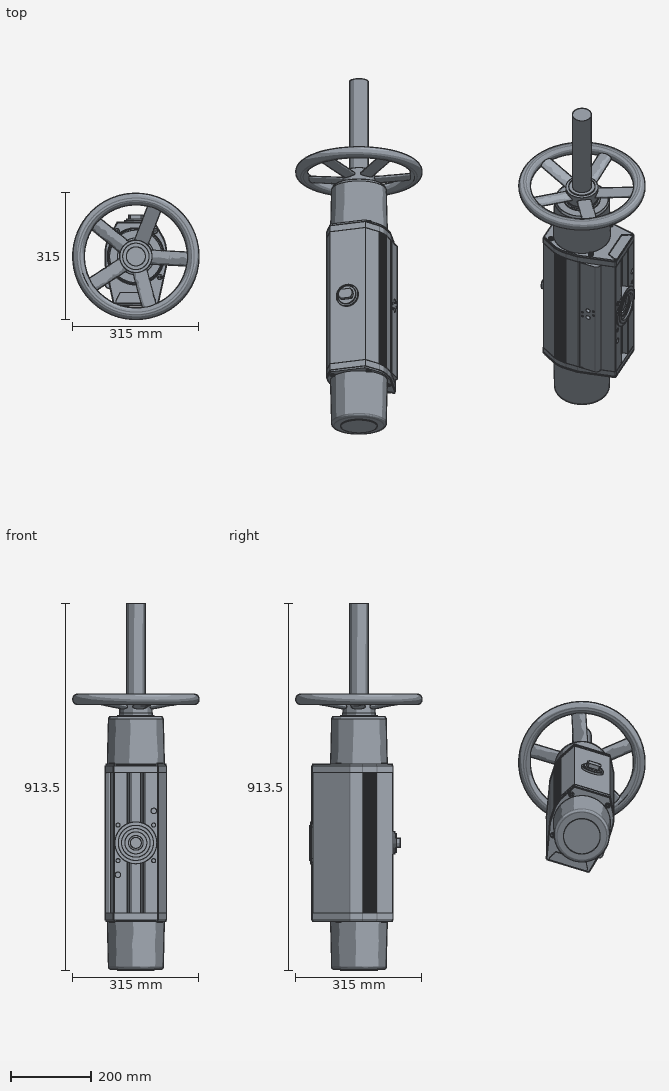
import cadquery as cq
import math

total_height = 913.5
body_bottom = 121.5
body_top = 513.0
plate_height = 21.0
body_mid = (body_bottom + body_top) / 2
profile_base = body_bottom + plate_height
profile_height = body_top - body_bottom - 2 * plate_height

back_y = 85.0
back_half_width = 47.0
shoulder_half_width = 69.0
shoulder_y = 45.0
widest_half_width = 77.0
arc_end_y = 9.0
taper_start_y = -22.0
front_y = -118.0
front_half_width = 54.0
corner_half_width = 57.0
corner_y = -115.0
plate_step_height = 5.0
plate_step_inset = 2.0
profile_inset = 0.5

arc_run = widest_half_width - shoulder_half_width
arc_rise = shoulder_y - arc_end_y
flank_radius = (arc_run**2 + arc_rise**2) / (2 * arc_run)

flute_count = 8
flute_first_y = 11.0
flute_pitch = 5.0
flute_width = 2.3
flute_depth = 1.4

cover_root_radius = 71.0
cover_tip_radius = 68.5
cover_edge = 6.0
cover_top = 632.0
cover_bottom = 3.0
cap_radius = 46.0
cap_height = 3.0

stem_radius = 24.0
neck_radius = 41.0
neck_step_z = 640.0
hub_radius = 40.0
hub_top_radius = 33.0
hub_shoulder_z = 671.0
hub_top_z = 674.0
wheel_radius = 315.0 / 2
rim_inner_radius = 128.0
rim_flat_radii = (139.0, 145.0)
rim_half_height = 26.5 / 2
rim_top_z = 688.0
rim_z = rim_top_z - rim_half_height
spoke_count = 5
spoke_first_angle = -3.0
spoke_half_width = 36.0 / 2
spoke_half_thickness = 6.85
spoke_start_radius = 27.0
spoke_start_z = 655.0
spoke_end_z = rim_z

groove_half_width = 24.0
groove_step = (19.0, 2.0)
groove_wall = (15.5, 14.0)
groove_floor = (12.0, 16.0)

flange_radius = 52.0
flange_height = 3.0
spigot_radius = 44.0
spigot_height = 5.5
recess_radius = 36.0
recess_depth = 5.5
seat_radius = 27.0
seat_depth = 8.0
bore_radius = 18.0
bore_depth = 20.0
drive_radius = 14.0
drive_height = 10.0
bolt_hole_offset = 89.0 / 2
bolt_hole_radius = 5.0
bolt_hole_depth = 18.0
front_port_x = 45.0
front_port_rise = 79.5
front_port_radius = 6.85
front_port_depth = 9.0

pad_start_y = -28.0
pad_end_y = -69.0
pad_foot = (-62.0, -80.0)
pad_round_mid = (-74.0, -76.0)
pad_inside_x = -55.0
pad_notch_width = 3.0
pad_notch_depth = 3.0
air_port_y = -51.0
air_port_heights = (317.0, 340.0)
air_port_radius = 5.5
air_port_depth = 14.0
screw_hole_places = ((-36.0, 316.0), (-36.0, 329.0), (-66.0, 329.0), (-66.0, 342.0))
screw_hole_radius = 2.3
screw_hole_depth = 9.0

head_radius = 6.0
head_height = 3.0
socket_radius = 3.0
socket_depth = 4.0
head_places = ((47.5, 63.0), (59.0, -51.0))
recess_back_y = -90.0
recess_back_half_width = 39.0
recess_front_half_width = 49.0
recess_corner_y = -110.0
plate_recess_depth = 3.0

collar_radius = 28.0
collar_height = 5.0
collar_tip_radius = 24.0
collar_tip_height = 8.0
shaft_radius = 36.0 / 2
shaft_end_y = 103.0
shaft_flat_gap = 24.0


def disc(radius, height, base_z):
    """Upright cylinder standing on base_z."""
    return cq.Workplane("XY").workplane(offset=base_z).circle(radius).extrude(height)


def rod_along_y(radius, start_y, end_y, x=0.0, z=body_mid):
    """Cylinder parallel to Y between two Y positions."""
    plane = cq.Plane(origin=(x, start_y, z), xDir=(1, 0, 0), normal=(0, 1, 0))
    return cq.Workplane(plane).circle(radius).extrude(end_y - start_y)


def rod_along_x(radius, start_x, length, y, z):
    """Cylinder running in +X from start_x."""
    return cq.Workplane("YZ", origin=(start_x, y, z)).circle(radius).extrude(length)


def flank_x(y):
    """Half width of the body on the rear flank arc."""
    return widest_half_width - flank_radius + math.sqrt(flank_radius**2 - (y - arc_end_y) ** 2)


def body_outline(base_z):
    """Closed plan outline shared by the extruded body and both end plates."""
    arc_mid_y = (shoulder_y + arc_end_y) / 2
    return (
        cq.Workplane("XY")
        .workplane(offset=base_z)
        .moveTo(-back_half_width, back_y)
        .lineTo(back_half_width, back_y)
        .lineTo(shoulder_half_width, shoulder_y)
        .threePointArc((flank_x(arc_mid_y), arc_mid_y), (widest_half_width, arc_end_y))
        .lineTo(widest_half_width, taper_start_y)
        .lineTo(corner_half_width, corner_y)
        .lineTo(front_half_width, front_y)
        .lineTo(-front_half_width, front_y)
        .lineTo(-corner_half_width, corner_y)
        .lineTo(-widest_half_width, taper_start_y)
        .lineTo(-widest_half_width, arc_end_y)
        .threePointArc((-flank_x(arc_mid_y), arc_mid_y), (-shoulder_half_width, shoulder_y))
        .close()
    )


def make_profile():
    """Extruded middle section with the air pad, flank flutes and front groove."""
    section = body_outline(profile_base).offset2D(-profile_inset).extrude(profile_height)
    pad = (
        cq.Workplane("XY")
        .workplane(offset=profile_base)
        .moveTo(pad_inside_x, pad_start_y)
        .lineTo(-widest_half_width, pad_start_y)
        .lineTo(-widest_half_width, pad_end_y)
        .threePointArc(pad_round_mid, pad_foot)
        .lineTo(pad_inside_x, pad_foot[1])
        .close()
        .extrude(profile_height)
    )
    pad_notch = (
        cq.Workplane("XY")
        .workplane(offset=profile_base)
        .center(-widest_half_width, pad_start_y + pad_notch_width / 2)
        .rect(2 * pad_notch_depth, pad_notch_width)
        .extrude(profile_height)
    )
    section = section.union(pad).cut(pad_notch)

    for index in range(flute_count):
        y = flute_first_y + index * flute_pitch
        for side in (-1, 1):
            flute = (
                cq.Workplane("XY")
                .workplane(offset=profile_base)
                .center(side * flank_x(y), y)
                .rect(2 * flute_depth, flute_width)
                .extrude(profile_height)
            )
            section = section.cut(flute)

    right_side = [(groove_half_width, 0), groove_step, groove_wall, groove_floor]
    left_side = [(-half_width, depth) for half_width, depth in reversed(right_side)]
    groove_points = [(x, front_y + depth) for x, depth in right_side + left_side]
    groove = (
        cq.Workplane("XY")
        .workplane(offset=profile_base)
        .polyline(groove_points)
        .close()
        .extrude(profile_height)
    )
    return section.cut(groove)


def make_end_plate():
    """Upper end plate with a stepped rim, a shallow front recess and four screw heads."""
    step_z = body_top - plate_step_height
    plate = body_outline(body_top - plate_height).extrude(plate_height - plate_step_height)
    plate = plate.union(body_outline(step_z).offset2D(-plate_step_inset).extrude(plate_step_height))
    recess = (
        cq.Workplane("XY")
        .workplane(offset=body_top - plate_recess_depth)
        .polyline(
            [
                (-recess_back_half_width, recess_back_y),
                (recess_back_half_width, recess_back_y),
                (recess_front_half_width, recess_corner_y),
                (recess_front_half_width, front_y),
                (-recess_front_half_width, front_y),
                (-recess_front_half_width, recess_corner_y),
            ]
        )
        .close()
        .extrude(plate_recess_depth)
    )
    plate = plate.cut(recess)
    for x, y in head_places:
        for side in (-1, 1):
            place = (side * x, y, 0)
            head = disc(head_radius, plate_height + head_height, body_top - plate_height)
            socket = disc(socket_radius, socket_depth, body_top + head_height - socket_depth)
            plate = plate.union(head.translate(place)).cut(socket.translate(place))
    return plate


def make_covers():
    """Slightly conical spring covers above and below the body."""
    upper = (
        cq.Workplane("XZ")
        .moveTo(0, body_top)
        .lineTo(cover_root_radius, body_top)
        .lineTo(cover_tip_radius, cover_top - cover_edge)
        .lineTo(cover_tip_radius - cover_edge / 2, cover_top)
        .lineTo(0, cover_top)
        .close()
        .revolve(360, (0, 0, 0), (0, 1, 0))
    )
    edge_slant = cover_edge * math.sqrt(0.5)
    edge_inset = cover_edge - edge_slant
    lower = (
        cq.Workplane("XZ")
        .moveTo(0, body_bottom)
        .lineTo(cover_root_radius, body_bottom)
        .lineTo(cover_tip_radius, cover_bottom + cover_edge)
        .threePointArc(
            (cover_tip_radius - edge_inset, cover_bottom + edge_inset),
            (cover_tip_radius - cover_edge, cover_bottom),
        )
        .lineTo(0, cover_bottom)
        .close()
        .revolve(360, (0, 0, 0), (0, 1, 0))
    )
    caps = disc(cap_radius, cap_height, 0).union(disc(cap_radius, cap_height, cover_top))
    return upper.union(lower).union(caps)


def make_spoke():
    """Flat elliptical spoke rising from the hub to the rim, pointing along +X."""
    run = rim_flat_radii[0] - spoke_start_radius
    rise = spoke_end_z - spoke_start_z
    plane = cq.Plane(
        origin=(spoke_start_radius, 0, spoke_start_z), xDir=(0, 1, 0), normal=(run, 0, rise)
    )
    return (
        cq.Workplane(plane)
        .ellipse(spoke_half_width, spoke_half_thickness)
        .extrude(math.hypot(run, rise))
    )


def make_handwheel():
    """Hub, five spokes, oval rim and the tall stem."""
    neck_base = cover_top + cap_height
    wheel = disc(neck_radius, neck_step_z - neck_base, neck_base)
    hub = (
        cq.Workplane("XZ")
        .moveTo(0, neck_step_z)
        .lineTo(hub_radius, neck_step_z)
        .lineTo(hub_radius, hub_shoulder_z)
        .lineTo(hub_top_radius, hub_shoulder_z)
        .lineTo(hub_top_radius, hub_top_z)
        .lineTo(0, hub_top_z)
        .close()
        .revolve(360, (0, 0, 0), (0, 1, 0))
    )
    flat_inner, flat_outer = rim_flat_radii
    rim_bottom = rim_z - rim_half_height
    rim = (
        cq.Workplane("XZ")
        .moveTo(flat_inner, rim_top_z)
        .lineTo(flat_outer, rim_top_z)
        .threePointArc((wheel_radius, rim_z), (flat_outer, rim_bottom))
        .lineTo(flat_inner, rim_bottom)
        .threePointArc((rim_inner_radius, rim_z), (flat_inner, rim_top_z))
        .close()
        .revolve(360, (0, 0, 0), (0, 1, 0))
    )
    wheel = wheel.union(hub).union(rim)
    for index in range(spoke_count):
        angle = spoke_first_angle + index * 360 / spoke_count
        wheel = wheel.union(make_spoke().rotate((0, 0, 0), (0, 0, 1), angle))
    return wheel.union(disc(stem_radius, total_height - hub_top_z, hub_top_z))


def add_front_flange(part):
    """Stepped round flange with its bore and the holes around it."""
    flange_back_y = front_y + groove_floor[1]
    spigot_y = front_y - spigot_height
    part = part.union(rod_along_y(flange_radius, front_y - flange_height, flange_back_y))
    part = part.union(rod_along_y(spigot_radius, spigot_y, front_y))
    for radius, depth in (
        (recess_radius, recess_depth),
        (seat_radius, seat_depth),
        (bore_radius, bore_depth),
    ):
        part = part.cut(rod_along_y(radius, spigot_y, spigot_y + depth))
    bore_floor_y = spigot_y + bore_depth
    part = part.union(rod_along_y(drive_radius, bore_floor_y - drive_height, bore_floor_y))

    for x in (-bolt_hole_offset, bolt_hole_offset):
        for rise in (-bolt_hole_offset, bolt_hole_offset):
            hole = rod_along_y(bolt_hole_radius, front_y, front_y + bolt_hole_depth, x, body_mid + rise)
            part = part.cut(hole)
    for side in (-1, 1):
        port = rod_along_y(
            front_port_radius,
            front_y,
            front_y + front_port_depth,
            side * front_port_x,
            body_mid + side * front_port_rise,
        )
        part = part.cut(port)
    return part


def cut_air_holes(part):
    """Two air ports and four screw holes in the side pad."""
    for z in air_port_heights:
        part = part.cut(rod_along_x(air_port_radius, -widest_half_width, air_port_depth, air_port_y, z))
    for y, z in screw_hole_places:
        part = part.cut(rod_along_x(screw_hole_radius, -widest_half_width, screw_hole_depth, y, z))
    return part


def make_indicator_shaft():
    """Stepped collar and flatted shaft end on the back face."""
    root_y = back_y - profile_inset
    flats = cq.Workplane("XY").box(2 * shaft_radius, 2 * shaft_end_y, shaft_flat_gap)
    flats = flats.translate((0, 0, body_mid))
    shaft = rod_along_y(shaft_radius, root_y, shaft_end_y).intersect(flats)
    collar = rod_along_y(collar_radius, root_y, back_y + collar_height)
    collar_tip = rod_along_y(collar_tip_radius, root_y, back_y + collar_tip_height)
    return collar.union(collar_tip).union(shaft)


upper_plate = make_end_plate()
lower_plate = upper_plate.mirror("XY", (0, 0, body_mid))

result = make_profile().union(upper_plate).union(lower_plate)
result = add_front_flange(result)
result = cut_air_holes(result)
result = result.union(make_indicator_shaft())
result = result.union(make_covers())
result = result.union(make_handwheel())